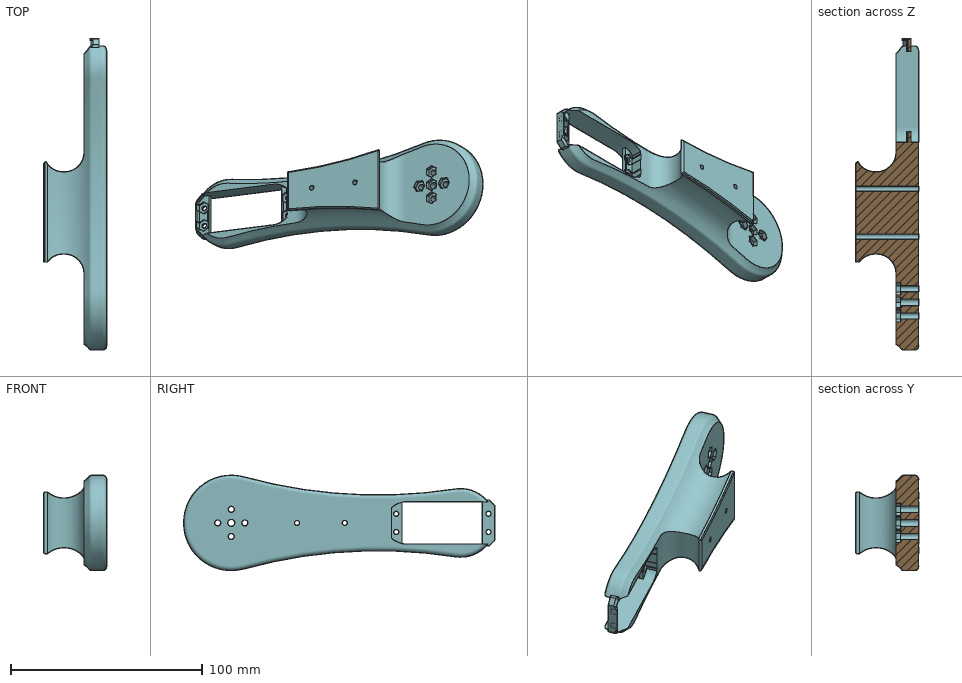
import cadquery as cq
import math


disc_radius = 25.0
nose_radius = 18.0
nose_y = 120.0
flank_radius = 264.0

base_height = 12.0
grip_height = 33.0
rim_radius = 2.2
rim_start = 7.6
rim_end = 9.1

groove_floor_height = 22.5
groove_floor_inset = 6.5
plate_start = 31.1
plate_inset = 4.2
plate_chamfer = 0.6

hollow_radius = 10.0
hollow_flat = 1.0
disc_hollow_y = 15.2
nose_hollow_y = 78.4
disc_tip_height = plate_start
nose_tip_height = 31.9
nose_tip_chamfer = 1.1

opening_half_width = 11.0
opening_end_y = 83.9
opening_arc_y = 91.5
tab_near = 4.0
tab_far = 6.3
lip_top = 8.9
lip_thickness = 0.9
lip_corner_bevel = 1.8
near_tab_edge_y = 89.4
far_tab_edge_y = 131.3
tip_y = nose_y + nose_radius
far_tab_half_width = 12.0
far_tab_chamfer = 3.0
far_tab_screw_y = 134.6
near_tab_screw_y = 86.3
tab_screw_z = 4.75
tab_screw_diameter = 2.5
recess_half_width = 3.0
recess_margin = 1.0
recess_depth = 0.5

hub_center_diameter = 3.5
hub_screw_diameter = 3.0
hub_circle_radius = 7.1
grip_hole_diameter = 2.5
grip_hole_ys = (34.4, 59.4)
nut_across_flats = 5.5
hub_nut_depth = 2.5
tab_nut_depth = 1.0

margin = 5.0
cutter_half_width = disc_radius + margin


def plan(height):
    """Workplane facing +X at the given height above the back; local axes are Y and Z."""
    return cq.Workplane("YZ", origin=(-height, 0, 0))


def outline():
    """Closed plan outline, starting at the disc end."""
    disc_reach = flank_radius + disc_radius
    nose_reach = flank_radius + nose_radius
    flank_y = (disc_reach**2 - nose_reach**2 + nose_y**2) / (2 * nose_y)
    flank_z = math.sqrt(disc_reach**2 - flank_y**2)
    disc_y = disc_radius * flank_y / disc_reach
    disc_z = disc_radius * flank_z / disc_reach
    nose_tangent_y = nose_y + nose_radius * (flank_y - nose_y) / nose_reach
    nose_tangent_z = nose_radius * flank_z / nose_reach
    waist = flank_z - flank_radius
    return (
        plan(0)
        .moveTo(-disc_radius, 0)
        .threePointArc((0, disc_radius), (disc_y, disc_z))
        .threePointArc((flank_y, waist), (nose_tangent_y, nose_tangent_z))
        .threePointArc((nose_y + nose_radius, 0), (nose_tangent_y, -nose_tangent_z))
        .threePointArc((flank_y, -waist), (disc_y, -disc_z))
        .threePointArc((0, -disc_radius), (-disc_radius, 0))
        .close()
    )


def side_cutter():
    """Ring swept round the outline that leaves the rounded rim, the groove and the plate edge."""
    rim_inset = rim_radius - math.sqrt(rim_radius**2 - (rim_end - rim_start) ** 2)
    half_step = (rim_end - rim_start) / 2
    half_inset = rim_radius - math.sqrt(rim_radius**2 - half_step**2)

    def at(height, inset):
        return (-height, inset - disc_radius)

    profile = (
        cq.Workplane("XY")
        .moveTo(*at(rim_start, 0))
        .threePointArc(at(rim_start + half_step, half_inset), at(rim_end, rim_inset))
        .threePointArc(at(groove_floor_height, groove_floor_inset), at(plate_start, plate_inset))
        .lineTo(*at(grip_height - plate_chamfer, plate_inset))
        .lineTo(*at(grip_height, plate_inset + plate_chamfer))
        .lineTo(*at(grip_height + margin, plate_inset + plate_chamfer))
        .lineTo(*at(grip_height + margin, -margin))
        .lineTo(*at(rim_start, -margin))
        .close()
    )
    return profile.sweep(outline(), transition="round")


def end_hollow(start_y, inward, tip_height, tip_chamfer):
    """Cutter clearing the grip from one end; inward is +1 or -1 along Y, towards the grip."""
    near_center = base_height + hollow_radius
    far_center = near_center + hollow_flat
    diagonal = hollow_radius * math.sqrt(0.5)
    floor_y = start_y + inward * hollow_radius

    def arc_y(offset):
        return start_y + inward * math.sqrt(hollow_radius**2 - offset**2)

    tip_offset = tip_height - far_center
    middle_offset = tip_offset / 2
    tip_y_position = arc_y(tip_offset)
    face_y = tip_y_position + inward * tip_chamfer
    outside_y = start_y - inward * 2 * nose_y
    return (
        cq.Workplane("XY", origin=(0, 0, -cutter_half_width))
        .moveTo(-base_height, outside_y)
        .lineTo(-base_height, start_y)
        .threePointArc((diagonal - near_center, start_y + inward * diagonal), (-near_center, floor_y))
        .lineTo(-far_center, floor_y)
        .threePointArc((-far_center - middle_offset, arc_y(middle_offset)),
                       (-tip_height, tip_y_position))
        .lineTo(-grip_height, face_y)
        .lineTo(-grip_height - margin, face_y)
        .lineTo(-grip_height - margin, outside_y)
        .close()
        .extrude(2 * cutter_half_width)
    )


def box(y_start, y_end, half_width, low, high):
    """Block between two Y positions and two heights, centred on Z = 0."""
    middle_y = (y_start + y_end) / 2
    return plan(high).center(middle_y, 0).rect(y_end - y_start, 2 * half_width).extrude(high - low)


def motor_opening():
    """Through opening with a rounded, squared-off inner end that runs out through the nose."""
    straight = box(opening_arc_y, tip_y + margin, opening_half_width, 0, grip_height)
    rounded = plan(grip_height).center(opening_arc_y, 0).circle(opening_half_width).extrude(grip_height)
    limit = box(opening_end_y, tip_y, opening_half_width, 0, grip_height)
    return straight.union(rounded.intersect(limit))


def tabs():
    """Mounting tabs bridging both ends of the opening; the outer one has a lip along its rim."""
    near_tab = box(opening_end_y - recess_margin, near_tab_edge_y, opening_half_width, tab_near, tab_far)
    far_tab = box(far_tab_edge_y, tip_y, far_tab_half_width, tab_near, lip_top)
    far_tab = far_tab.edges("|X and >Y").chamfer(far_tab_chamfer)
    far_tab = far_tab.faces("<X").edges("not(|Y or |Z)").chamfer(lip_corner_bevel)
    floor_half_width = far_tab_half_width - lip_thickness
    floor_start = far_tab_edge_y - margin
    floor_cutter = box(floor_start, tip_y - lip_thickness, floor_half_width, tab_far, grip_height)
    floor_cutter = floor_cutter.edges("|X and >Y").chamfer(far_tab_chamfer)
    return near_tab.union(far_tab.cut(floor_cutter))


def tab_recesses():
    """Shallow recess between the two screws of each tab."""
    floor = tab_far - recess_depth
    near_end = near_tab_edge_y - recess_margin
    far_start = far_tab_edge_y + recess_margin
    near = box(opening_end_y, near_end, recess_half_width, floor, tab_far)
    far = box(far_start, tip_y - lip_thickness, recess_half_width, floor, tab_far)
    return near.union(far)


def nut_hole(y, z, diameter, face, nut_depth, turn):
    """Through hole with a hexagonal nut pocket sunk below the given face height."""
    hole = plan(grip_height).center(y, z).circle(diameter / 2).extrude(grip_height)
    nut = (
        plan(grip_height)
        .center(y, z)
        .transformed(rotate=(0, 0, turn))
        .polygon(6, nut_across_flats / math.cos(math.pi / 6))
        .extrude(grip_height - face + nut_depth)
    )
    return hole.union(nut)


def body():
    """Base, grip and hollows."""
    blank = outline().extrude(-grip_height)
    blank = blank.faces(">X").edges().fillet(rim_radius)
    blank = blank.cut(side_cutter())
    blank = blank.cut(end_hollow(disc_hollow_y, 1, disc_tip_height, 0))
    return blank.cut(end_hollow(nose_hollow_y, -1, nose_tip_height, nose_tip_chamfer))


result = body().cut(motor_opening()).union(tabs()).cut(tab_recesses())

result = result.cut(nut_hole(0, 0, hub_center_diameter, base_height, hub_nut_depth, 90))
for angle in (0, 90, 180, 270):
    y = hub_circle_radius * math.cos(math.radians(angle))
    z = hub_circle_radius * math.sin(math.radians(angle))
    result = result.cut(nut_hole(y, z, hub_screw_diameter, base_height, hub_nut_depth, angle))

for y in (near_tab_screw_y, far_tab_screw_y):
    for z in (-tab_screw_z, tab_screw_z):
        result = result.cut(nut_hole(y, z, tab_screw_diameter, tab_far, tab_nut_depth, 90))

for y in grip_hole_ys:
    hole = plan(grip_height).center(y, 0).circle(grip_hole_diameter / 2).extrude(grip_height)
    result = result.cut(hole)